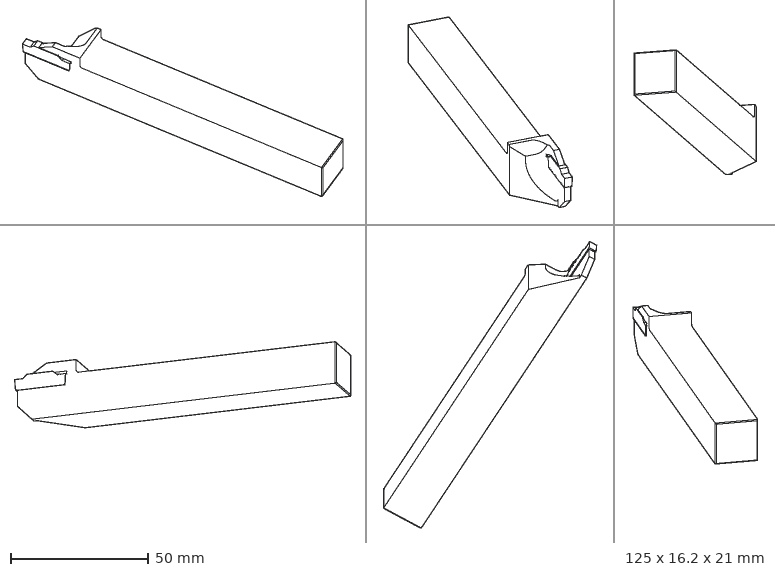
import cadquery as cq
import math

length = 125.0
shank = 16.0
height = 21.0
nose_x = 1.0
nose_chamfer = 5.6
jaw_end_x = 23.9
jaw_slope_x = 12.4
jaw_tip_x = 6.8
step_fillet = 1.0
end_chamfer = 0.4

blade_width = 2.4
relief_x = 17.0
relief_radius = 16.0
relief_fillet = 1.0
ramp_top_x = 22.2
ramp_angle = 30.0
ramp_fillet = 5.2
flank_offset = 5.5

insert_front_y = -0.2
insert_width = 3.0
insert_bottom_z = 11.8
insert_top_z = 17.5
insert_end_x = 19.8
rear_lean = 0.1
seat_end_x = 20.1
seat_roof_z = 17.0
clearance_x = 15.2
edge_length = 3.2
crest_start_x = 4.8
crest_end_x = 14.8
crest_foot_x = 16.6
bevel_z = 12.5
bevel = 0.2
front_lean = 0.2

clearance_back_y = blade_width + relief_fillet
ramp_slope = math.tan(math.radians(ramp_angle))
cut_margin = 6.2


def prism(profile, y_start, y_end):
    """Extrude a closed XZ profile along +Y between two Y positions."""
    return profile.extrude(-(y_end - y_start)).translate((0, y_start, 0))


def outline(points):
    return cq.Workplane("XZ").polyline(points).close()


def make_blank():
    profile = outline([
        (nose_x + nose_chamfer, 0),
        (length, 0),
        (length, shank),
        (jaw_end_x, shank),
        (jaw_end_x, height),
        (jaw_slope_x, height),
        (jaw_tip_x, insert_top_z),
        (nose_x, insert_top_z),
        (nose_x, nose_chamfer),
    ])
    blank = prism(profile, 0, shank)
    blank = blank.faces(">X").chamfer(end_chamfer)
    step_corner = cq.selectors.NearestToPointSelector((jaw_end_x, shank / 2, shank))
    return blank.edges(step_corner).fillet(step_fillet)


def make_floor_cutter():
    """Room in front of the upright wall and above the curved floor."""
    axis_x = relief_x - relief_radius
    front_x = -cut_margin
    profile = (
        cq.Workplane("XZ")
        .moveTo(relief_x, height + cut_margin)
        .lineTo(relief_x, shank)
        .radiusArc((axis_x, shank - relief_radius), relief_radius)
        .lineTo(front_x, shank - relief_radius)
        .lineTo(front_x, height + cut_margin)
        .close()
    )
    cutter = prism(profile, blade_width, shank + cut_margin)
    return cutter.faces("<Y").edges().fillet(relief_fillet)


def make_ramp_cutter():
    """Room above the ramp that rises from the upright wall to the jaw top."""
    top_z = height + 2 * cut_margin
    front_x = relief_x - relief_fillet
    profile = outline([
        (front_x, height - (ramp_top_x - front_x) * ramp_slope),
        (ramp_top_x + cut_margin / ramp_slope, height + cut_margin),
        (ramp_top_x + cut_margin / ramp_slope, top_z),
        (front_x, top_z),
    ])
    cutter = prism(profile, blade_width, shank + cut_margin)
    return cutter.faces("<Y").edges("not(|X or |Z)").fillet(ramp_fillet)


def make_flank_cutter():
    """Everything in front of the 45-degree flank, behind the blade."""
    back_y = shank + cut_margin
    return (
        cq.Workplane("XY")
        .polyline([
            (-cut_margin, blade_width),
            (blade_width + flank_offset, blade_width),
            (back_y + flank_offset, back_y),
            (-cut_margin, back_y),
        ])
        .close()
        .extrude(height)
    )


def make_insert():
    profile = outline([
        (0, shank),
        (edge_length, shank),
        (crest_start_x, insert_top_z),
        (crest_end_x, insert_top_z),
        (crest_foot_x, shank),
        (insert_end_x, shank),
        (insert_end_x - rear_lean, bevel_z),
        (insert_end_x - rear_lean - bevel, insert_bottom_z),
        (front_lean + bevel, insert_bottom_z),
        (front_lean, bevel_z),
    ])
    return prism(profile, insert_front_y, insert_front_y + insert_width)


def make_seat_cutter():
    """Space for the insert, the clearance behind it and the open mouth."""
    insert_back_y = insert_front_y + insert_width
    clearance = outline([
        (clearance_x, seat_roof_z),
        (seat_end_x, seat_roof_z),
        (seat_end_x, shank),
        (clearance_x, shank),
    ])
    mouth = outline([
        (nose_x, shank),
        (jaw_tip_x, shank),
        (jaw_tip_x, insert_top_z),
        (nose_x, insert_top_z),
    ])
    return (
        make_insert()
        .union(prism(clearance, insert_front_y, clearance_back_y))
        .union(prism(mouth, insert_front_y, insert_back_y))
    )


insert = make_insert()
holder = (
    make_blank()
    .cut(make_floor_cutter())
    .cut(make_ramp_cutter())
    .cut(make_flank_cutter())
    .cut(make_seat_cutter())
)

result = cq.Compound.makeCompound([holder.val(), insert.val()])